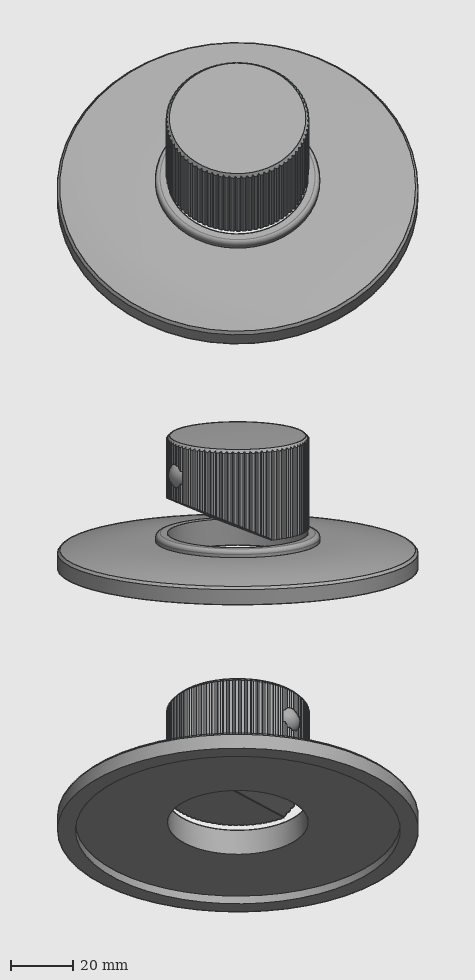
import cadquery as cq
import math

disc_radius = 58.0
rim_height = 5.0
rim_chamfer_width = 0.8
rim_chamfer_height = 0.9
crest_radius = 27.8
crest_height = 8.9
collar_radius = 26.5
collar_height = 11.5
collar_fillet = 1.5
bore_radius = 22.6
recess_radius = 52.2
recess_depth = 2.8

knob_radius = 23.0
knob_base = 13.3
knob_top = 43.8
crown_rise = 0.3
top_chamfer_width = 1.0
top_chamfer_height = 1.2
flute_count = 75
flute_depth = 0.5
flute_width = 0.99
slope_angle = 25.0
slope_step = 0.3
pointer_height = 32.5
pointer_radius = 3.7
pointer_reach = 24.6


def make_rosette():
    shoulder_radius = disc_radius - rim_chamfer_width
    shoulder_height = rim_height + rim_chamfer_height
    dome_drop = crest_height - shoulder_height
    dome_run = shoulder_radius - crest_radius
    dome_radius = (dome_run**2 + dome_drop**2) / (2 * dome_drop)
    collar_foot = crest_height - dome_radius + math.sqrt(dome_radius**2 - (crest_radius - collar_radius) ** 2)
    profile = (
        cq.Workplane("XZ")
        .moveTo(bore_radius, recess_depth)
        .lineTo(recess_radius, recess_depth)
        .lineTo(recess_radius, 0)
        .lineTo(disc_radius, 0)
        .lineTo(disc_radius, rim_height)
        .lineTo(shoulder_radius, shoulder_height)
        .threePointArc((crest_radius, crest_height), (collar_radius, collar_foot))
        .lineTo(collar_radius, collar_height - collar_fillet)
        .radiusArc((collar_radius - collar_fillet, collar_height), -collar_fillet)
        .lineTo(bore_radius, collar_height)
        .close()
    )
    return profile.revolve(360, (0, 0, 0), (0, 1, 0))


def make_knob_blank():
    edge_height = knob_top - crown_rise
    edge_radius = knob_radius - top_chamfer_width
    crown_radius = (edge_radius**2 + crown_rise**2) / (2 * crown_rise)
    profile = (
        cq.Workplane("XZ")
        .moveTo(0, knob_base)
        .lineTo(knob_radius, knob_base)
        .lineTo(knob_radius, edge_height - top_chamfer_height)
        .lineTo(edge_radius, edge_height)
        .radiusArc((0, knob_top), -crown_radius)
        .close()
    )
    return profile.revolve(360, (0, 0, 0), (0, 1, 0))


def polar_point(radius, angle):
    return (radius * math.cos(angle), radius * math.sin(angle))


def make_fluted_column():
    """Prism as tall as the knob, with V flutes around it and a land centred on -Y."""
    pitch = 2 * math.pi / flute_count
    half_flute = flute_width / knob_radius / 2
    first_flute = -math.pi / 2 + pitch / 2
    points = []
    for index in range(flute_count):
        middle = first_flute + index * pitch
        points.append(polar_point(knob_radius, middle - half_flute))
        points.append(polar_point(knob_radius - flute_depth, middle))
        points.append(polar_point(knob_radius, middle + half_flute))
    return cq.Workplane("XY").workplane(offset=knob_base).polyline(points).close().extrude(knob_top - knob_base)


def make_slope_cut():
    cut_run = 2 * knob_radius
    slope_start = knob_base + slope_step
    slope_end = slope_start + cut_run * math.tan(math.radians(slope_angle))
    return (
        cq.Workplane("YZ")
        .polyline([(0, knob_base), (cut_run, knob_base), (cut_run, slope_end), (0, slope_start)])
        .close()
        .extrude(knob_radius, both=True)
    )


def make_pointer():
    """Ball whose cap stands out of the +Y side of the knob."""
    cap_height = pointer_reach - knob_radius
    ball_radius = (pointer_radius**2 + cap_height**2) / (2 * cap_height)
    return cq.Workplane("XY").sphere(ball_radius).translate((0, pointer_reach - ball_radius, pointer_height))


def make_knob():
    fluted = make_knob_blank().intersect(make_fluted_column())
    return fluted.cut(make_slope_cut()).union(make_pointer())


rosette = make_rosette()
knob = make_knob()
result = cq.Compound.makeCompound([rosette.val(), knob.val()])